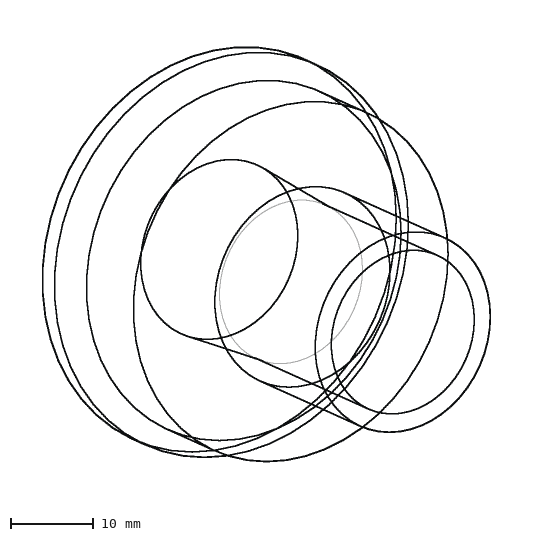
import cadquery as cq

flange_rim = 2.8
flange_end = 5.6
body_end = 16.35
spigot_start = 19.05
total_length = 42.0

flange_diameter = 50.5
body_diameter = 44.9
spigot_diameter = 25.0
bore_mouth_diameter = 22.4
bore_diameter = 20.4

bore_taper_end = body_end

half_section = [
    (0, bore_mouth_diameter / 2),
    (0, flange_diameter / 2),
    (flange_rim, flange_diameter / 2),
    (flange_end, body_diameter / 2),
    (body_end, body_diameter / 2),
    (spigot_start, spigot_diameter / 2),
    (total_length, spigot_diameter / 2),
    (total_length, bore_diameter / 2),
    (bore_taper_end, bore_diameter / 2),
]

result = (
    cq.Workplane("XY")
    .polyline(half_section)
    .close()
    .revolve(360, (0, 0, 0), (1, 0, 0))
)